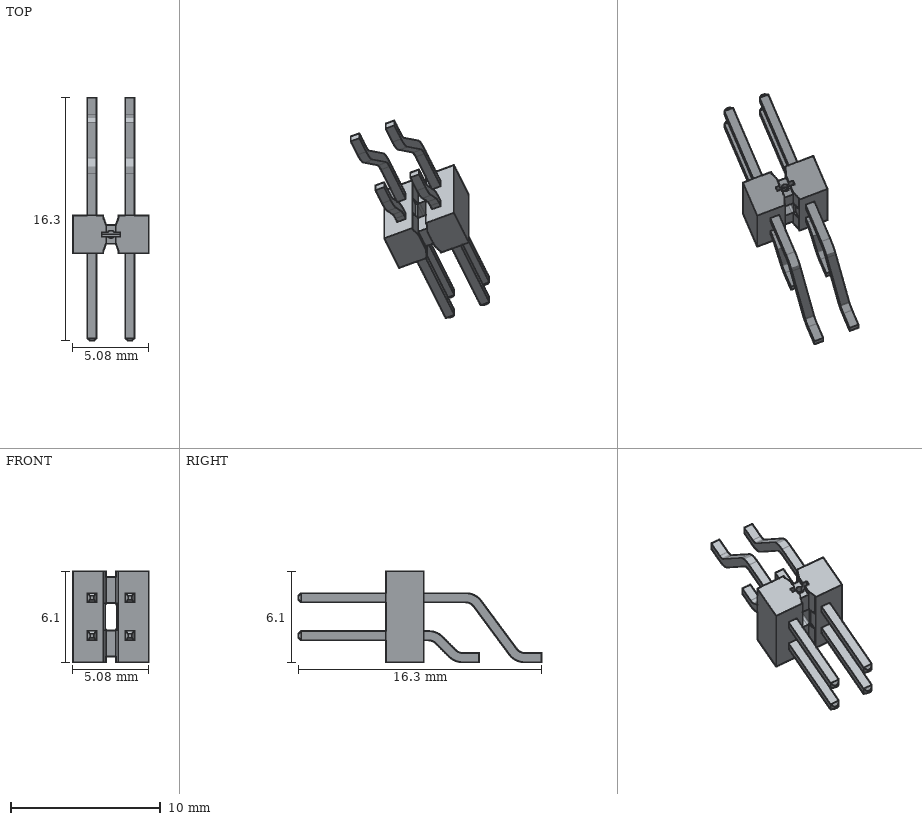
import cadquery as cq
import math


pitch = 2.54
columns = 2
rows = 2
housing_width = columns * pitch
housing_depth = pitch
housing_height = 6.1
middle_height = housing_height / 2

waist_mouth = 1.0
waist_gap = 0.65
waist_land = 0.13
web_thickness = 1.27
web_recess = 0.39

window_width = 0.75
window_height = 1.82
window_corner_radius = 0.15

slot_length = 1.25
slot_width = 0.3
slot_depth = 0.98
slot_hole_diameter = 0.5

insert_width = slot_width / 2
insert_height = 0.16

pin_size = 0.63
pin_bend_radius = 0.98
pin_front = -7.12
pin_tip_length = 0.2
pin_tip_size = 0.25
foot_height = pin_size / 2

row_bends = [
    (1.6, 45.0, 4.96),
    (4.06, 53.5, 9.14),
]


def centred_box(width, depth, height, y, z):
    return cq.Workplane("XY").box(width, depth, height).translate((0, y, z))


def waist_notch():
    """Tapered notch through the full height, cut from the front face back to the web."""
    front = -housing_depth / 2
    taper_start = front + waist_land
    web_face = -web_thickness / 2
    return (
        cq.Workplane("XY")
        .polyline([
            (-waist_mouth / 2, front),
            (waist_mouth / 2, front),
            (waist_mouth / 2, taper_start),
            (waist_gap / 2, web_face),
            (-waist_gap / 2, web_face),
            (-waist_mouth / 2, taper_start),
        ])
        .close()
        .extrude(housing_height)
    )


def cut_waist(body):
    notch = waist_notch()
    body = body.cut(notch).cut(notch.mirror("XZ"))
    for z in (web_recess / 2, housing_height - web_recess / 2):
        body = body.cut(centred_box(waist_gap, web_thickness, web_recess, 0, z))
    return body


def cut_window(body):
    opening = (
        centred_box(window_width, web_thickness, window_height, 0, middle_height)
        .edges("|Y")
        .fillet(window_corner_radius)
    )
    body = body.cut(opening)
    clearance_depth = (housing_depth - web_thickness) / 2
    clearance_y = (housing_depth + web_thickness) / 4
    for y in (-clearance_y, clearance_y):
        body = body.cut(centred_box(waist_mouth, clearance_depth, window_height, y, middle_height))
    return body


def cut_slot(body):
    slot = centred_box(slot_length, slot_width, slot_depth, 0, housing_height - slot_depth / 2)
    hole = (
        cq.Workplane("XY")
        .workplane(offset=housing_height - slot_depth)
        .circle(slot_hole_diameter / 2)
        .extrude(slot_depth - web_recess)
    )
    return body.cut(slot).cut(hole)


def make_pin(x, z, bend_start, slope_angle, foot_end):
    """Square pin at height z, cranked down behind the housing to a foot on the seating plane."""
    angle = math.radians(slope_angle)
    tangent_length = pin_bend_radius * math.tan(angle / 2)
    bend_run = pin_bend_radius * math.sin(angle)
    bend_drop = pin_bend_radius * (1 - math.cos(angle))
    half_run = pin_bend_radius * math.sin(angle / 2)
    half_drop = pin_bend_radius * (1 - math.cos(angle / 2))
    foot_start = bend_start + (z - foot_height) / math.tan(angle) + 2 * tangent_length

    shank_start = pin_front + pin_tip_length
    path = (
        cq.Workplane("YZ", origin=(x, 0, 0))
        .moveTo(shank_start, z)
        .lineTo(bend_start, z)
        .threePointArc((bend_start + half_run, z - half_drop), (bend_start + bend_run, z - bend_drop))
        .lineTo(foot_start - bend_run, foot_height + bend_drop)
        .threePointArc((foot_start - half_run, foot_height + half_drop), (foot_start, foot_height))
        .lineTo(foot_end, foot_height)
    )
    shank = cq.Workplane("XZ", origin=(x, shank_start, z)).rect(pin_size, pin_size).sweep(path)
    tip = (
        cq.Workplane("XZ", origin=(x, shank_start, z))
        .rect(pin_size, pin_size)
        .workplane(offset=pin_tip_length)
        .rect(pin_tip_size, pin_tip_size)
        .loft(ruled=True)
    )
    return shank.union(tip)


def make_header():
    """Housing with its moulded-in pins, as one solid."""
    body = centred_box(housing_width, housing_depth, housing_height, 0, middle_height)
    body = cut_waist(body)
    body = cut_window(body)
    body = cut_slot(body)
    for column in range(columns):
        x = (column - (columns - 1) / 2) * pitch
        for row, (bend_start, slope_angle, foot_end) in enumerate(row_bends):
            z = middle_height + (row - (rows - 1) / 2) * pitch
            body = body.union(make_pin(x, z, bend_start, slope_angle, foot_end))
    return body


def make_insert():
    """Bar resting on the slot floor, filling its front half."""
    floor = housing_height - slot_depth
    return centred_box(slot_length, insert_width, insert_height, -insert_width / 2, floor + insert_height / 2)


header = make_header()
insert = make_insert()

result = cq.Compound.makeCompound([header.val(), insert.val()])